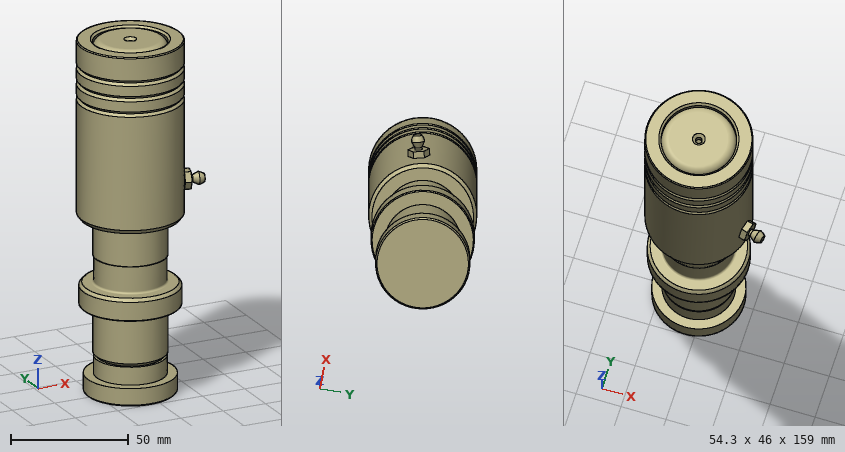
import cadquery as cq
import math


total_height = 159.0
flange_height = 8.1
base_height = 16.2
collar_bottom = 39.1
collar_top = 49.3
neck_top = 61.7
sleeve_bottom = 78.9

flange_radius = 20.0
flange_chamfer = 0.6
stub_radius = 15.7

post_radius = 16.0
post_end_chamfer = 1.6
post_top_fillet = 3.5
neck_radius = 15.6
neck_fillet = 1.0
undercut_depth = 1.1
collar_radius = 22.0
collar_bottom_chamfer = 0.5
collar_bevel_width = 1.3
collar_bevel_height = 1.5
collar_bevel_step = 0.8

countersink_radius = 2.7
center_hole_radius = 1.5
center_hole_length = 2.4
center_cone_half_angle = 45.0

sleeve_diameter = 46.0
sleeve_radius = sleeve_diameter / 2
sleeve_top_chamfer = 0.5
sleeve_bottom_bevel_width = 1.5
sleeve_bottom_bevel_height = 1.9
bore_chamfer = 1.0
groove_depth = 1.1
groove_half_width = 1.2
groove_count = 3
groove_pitch = 7.0
top_groove_height = 147.2

nipple_height = 94.0
nipple_angle = -15.0
shank_radius = 3.0
shank_depth = 4.0
hex_flats = 8.0
hex_length = 2.9
throat_offset = 3.8
throat_radius = 1.6
rim_offset = 6.5
rim_radius = 2.9
tip_offset = 9.0
tip_radius = 1.7
head_bulge = 0.2


def revolve_about_z(profile):
    return profile.close().revolve(360, (0, 0, 0), (0, 1, 0))


def make_base():
    profile = (
        cq.Workplane("XZ")
        .moveTo(0, 0)
        .lineTo(flange_radius - flange_chamfer, 0)
        .lineTo(flange_radius, flange_chamfer)
        .lineTo(flange_radius, flange_height)
        .lineTo(stub_radius, flange_height)
        .lineTo(stub_radius, base_height)
        .lineTo(0, base_height)
    )
    return revolve_about_z(profile)


def make_center_hole():
    slope = math.tan(math.radians(center_cone_half_angle))
    hole_top = total_height - (countersink_radius - center_hole_radius) / slope
    hole_bottom = hole_top - center_hole_length
    profile = (
        cq.Workplane("XZ")
        .moveTo(0, total_height)
        .lineTo(countersink_radius, total_height)
        .lineTo(center_hole_radius, hole_top)
        .lineTo(center_hole_radius, hole_bottom)
        .lineTo(0, hole_bottom - center_hole_radius / slope)
    )
    return revolve_about_z(profile)


def make_post():
    profile = (
        cq.Workplane("XZ")
        .moveTo(0, base_height)
        .lineTo(post_radius - post_end_chamfer, base_height)
        .lineTo(post_radius, base_height + post_end_chamfer)
        .lineTo(post_radius, collar_bottom - undercut_depth)
        .lineTo(post_radius - undercut_depth, collar_bottom)
        .lineTo(collar_radius - collar_bottom_chamfer, collar_bottom)
        .lineTo(collar_radius, collar_bottom + collar_bottom_chamfer)
        .lineTo(collar_radius, collar_top - collar_bevel_height)
        .lineTo(collar_radius - collar_bevel_width + collar_bevel_step, collar_top - collar_bevel_step)
        .lineTo(collar_radius - collar_bevel_width, collar_top)
        .lineTo(neck_radius + neck_fillet, collar_top)
        .radiusArc((neck_radius, collar_top + neck_fillet), neck_fillet)
        .lineTo(neck_radius, neck_top)
        .lineTo(post_radius, neck_top)
        .lineTo(post_radius, total_height)
        .lineTo(0, total_height)
    )
    post = revolve_about_z(profile).faces(">Z").edges().fillet(post_top_fillet)
    return post.cut(make_center_hole())


def make_groove(height):
    outside = sleeve_radius + groove_depth
    outside_half_width = 2 * groove_half_width
    profile = (
        cq.Workplane("XZ")
        .moveTo(sleeve_radius - groove_depth, height)
        .lineTo(outside, height - outside_half_width)
        .lineTo(outside, height + outside_half_width)
    )
    return revolve_about_z(profile)


def make_sleeve():
    profile = (
        cq.Workplane("XZ")
        .moveTo(post_radius, sleeve_bottom)
        .lineTo(sleeve_radius - sleeve_bottom_bevel_width, sleeve_bottom)
        .lineTo(sleeve_radius, sleeve_bottom + sleeve_bottom_bevel_height)
        .lineTo(sleeve_radius, total_height - sleeve_top_chamfer)
        .lineTo(sleeve_radius - sleeve_top_chamfer, total_height)
        .lineTo(post_radius + bore_chamfer, total_height)
        .lineTo(post_radius, total_height - bore_chamfer)
    )
    sleeve = revolve_about_z(profile)
    for index in range(groove_count):
        sleeve = sleeve.cut(make_groove(top_groove_height - index * groove_pitch))
    return sleeve.cut(place_on_sleeve(make_shank()))


def place_on_sleeve(shape):
    """Move a shape built along +X from the origin onto the side of the sleeve."""
    return shape.translate((sleeve_radius, 0, nipple_height)).rotate((0, 0, 0), (0, 0, 1), nipple_angle)


def make_shank():
    return cq.Workplane("YZ").circle(shank_radius).extrude(-shank_depth)


def make_nipple():
    hex_diameter = hex_flats / math.cos(math.radians(30))
    hexagon = cq.Workplane("YZ").polygon(6, hex_diameter).extrude(hex_length)
    head = (
        cq.Workplane("XY")
        .moveTo(hex_length, 0)
        .lineTo(hex_length, throat_radius)
        .lineTo(throat_offset, throat_radius)
        .lineTo(rim_offset, rim_radius)
        .threePointArc(
            ((rim_offset + tip_offset) / 2, (rim_radius + tip_radius) / 2 + head_bulge),
            (tip_offset, tip_radius),
        )
        .lineTo(tip_offset, 0)
        .close()
        .revolve(360, (0, 0, 0), (1, 0, 0))
    )
    return place_on_sleeve(make_shank().union(hexagon).union(head))


base = make_base()
post = make_post()
sleeve = make_sleeve()
nipple = make_nipple()

result = cq.Compound.makeCompound([base.val(), post.val(), sleeve.val(), nipple.val()])